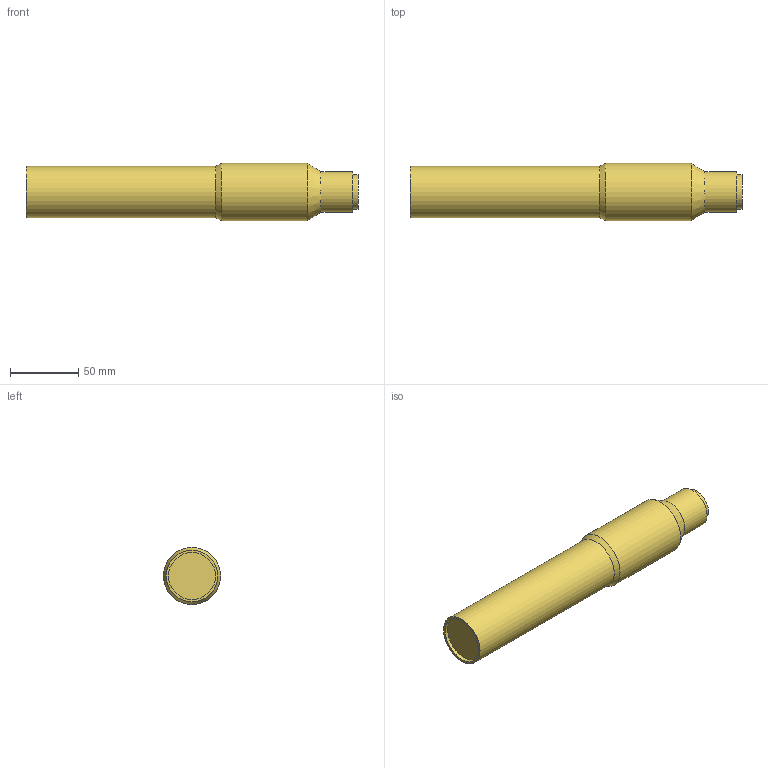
import cadquery as cq

total_length = 244.0
tip_length = 4.0
neck_length = 23.25
front_taper_length = 10.2
collar_length = 63.0
rear_taper_length = 4.1

tip_diameter = 25.0
neck_diameter = 30.0
collar_diameter = 42.0
tube_diameter = 38.0

recess_diameter = 34.5
recess_depth = 2.5

x_end = total_length / 2
x_start = -x_end
x_neck_end = x_end - tip_length
x_neck_start = x_neck_end - neck_length
x_collar_end = x_neck_start - front_taper_length
x_collar_start = x_collar_end - collar_length
x_tube_end = x_collar_start - rear_taper_length


def make_body():
    """Stepped shaft turned about the X axis."""
    half_profile = [
        (x_start, 0),
        (x_start, tube_diameter / 2),
        (x_tube_end, tube_diameter / 2),
        (x_collar_start, collar_diameter / 2),
        (x_collar_end, collar_diameter / 2),
        (x_neck_start, neck_diameter / 2),
        (x_neck_end, neck_diameter / 2),
        (x_neck_end, tip_diameter / 2),
        (x_end, tip_diameter / 2),
        (x_end, 0),
    ]
    return cq.Workplane("XZ").polyline(half_profile).close().revolve(360, (0, 0, 0), (1, 0, 0))


def make_recess():
    """Shallow cylinder to be cut from the end of the tube."""
    return cq.Workplane("YZ", origin=(x_start, 0, 0)).circle(recess_diameter / 2).extrude(recess_depth)


result = make_body().cut(make_recess())